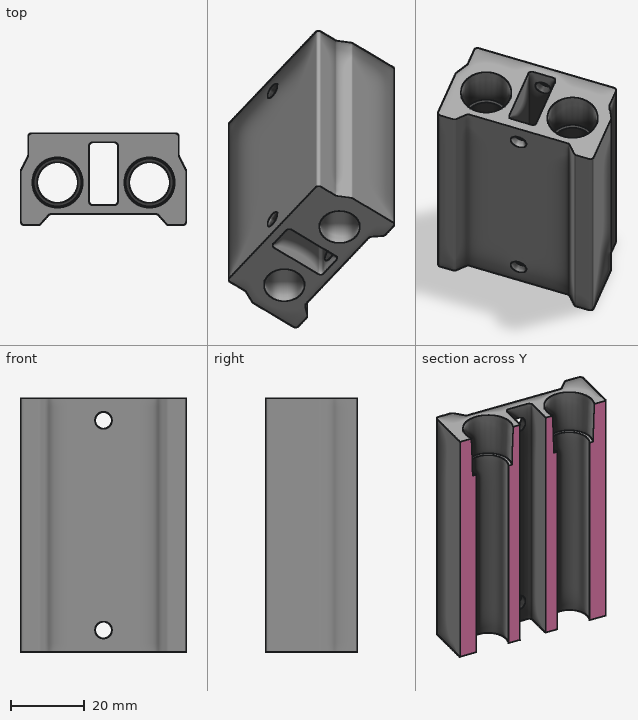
import cadquery as cq

WIDTH = 45.0
DEPTH = 25.0
HEIGHT = 69.0
FRONT_Y = -DEPTH / 2
BACK_Y = DEPTH / 2

BACK_WIDTH = 41.0
SHOULDER_NARROW_END = 6.2
SHOULDER_WIDE_END = 10.1
CHANNEL_DEPTH = 3.0
CHANNEL_FLOOR_WIDTH = 29.3
CHANNEL_MOUTH_WIDTH = 34.7
OUTLINE_RADIUS = 1.0

POCKET_WIDTH = 7.8
POCKET_DEPTH = 17.0
POCKET_BACK_WALL = 2.5
POCKET_CORNER_RADIUS = 1.0

BORE_SPACING = 25.0
BORE_FROM_BACK = 13.4
BORE_TOP_DIAMETER = 13.7
BORE_TAPER = 1 / 16
BORE_LENGTH = 12.0
BORE_BOTTOM_DIAMETER = BORE_TOP_DIAMETER - BORE_TAPER * BORE_LENGTH
THROUGH_DIAMETER = 11.0

CROSS_HOLE_DIAMETER = 4.5
CROSS_HOLE_END_DISTANCE = 6.0


def make_body():
    right_half = [
        (BACK_WIDTH / 2, BACK_Y),
        (BACK_WIDTH / 2, BACK_Y - SHOULDER_NARROW_END),
        (WIDTH / 2, BACK_Y - SHOULDER_WIDE_END),
        (WIDTH / 2, FRONT_Y),
        (CHANNEL_MOUTH_WIDTH / 2, FRONT_Y),
        (CHANNEL_FLOOR_WIDTH / 2, FRONT_Y + CHANNEL_DEPTH),
    ]
    left_half = [(-x, y) for x, y in reversed(right_half)]
    body = cq.Workplane("XY").polyline(right_half + left_half).close().extrude(HEIGHT)
    return body.edges("|Z").fillet(OUTLINE_RADIUS)


def make_pocket():
    center_y = BACK_Y - POCKET_BACK_WALL - POCKET_DEPTH / 2
    pocket = cq.Workplane("XY").center(0, center_y).rect(POCKET_WIDTH, POCKET_DEPTH).extrude(HEIGHT)
    return pocket.edges("|Z").fillet(POCKET_CORNER_RADIUS)


def make_bore(x):
    shoulder_z = HEIGHT - BORE_LENGTH
    half_section = [
        (0, 0),
        (THROUGH_DIAMETER / 2, 0),
        (THROUGH_DIAMETER / 2, shoulder_z),
        (BORE_BOTTOM_DIAMETER / 2, shoulder_z),
        (BORE_TOP_DIAMETER / 2, HEIGHT),
        (0, HEIGHT),
    ]
    bore = cq.Workplane("XZ").polyline(half_section).close().revolve(360, (0, 0), (0, 1))
    return bore.translate((x, BACK_Y - BORE_FROM_BACK, 0))


def make_cross_hole(z):
    plane = cq.Workplane("XZ", origin=(0, BACK_Y, z))
    return plane.circle(CROSS_HOLE_DIAMETER / 2).extrude(DEPTH)


result = make_body().cut(make_pocket())
for side in (-1, 1):
    result = result.cut(make_bore(side * BORE_SPACING / 2))
for height in (CROSS_HOLE_END_DISTANCE, HEIGHT - CROSS_HOLE_END_DISTANCE):
    result = result.cut(make_cross_hole(height))